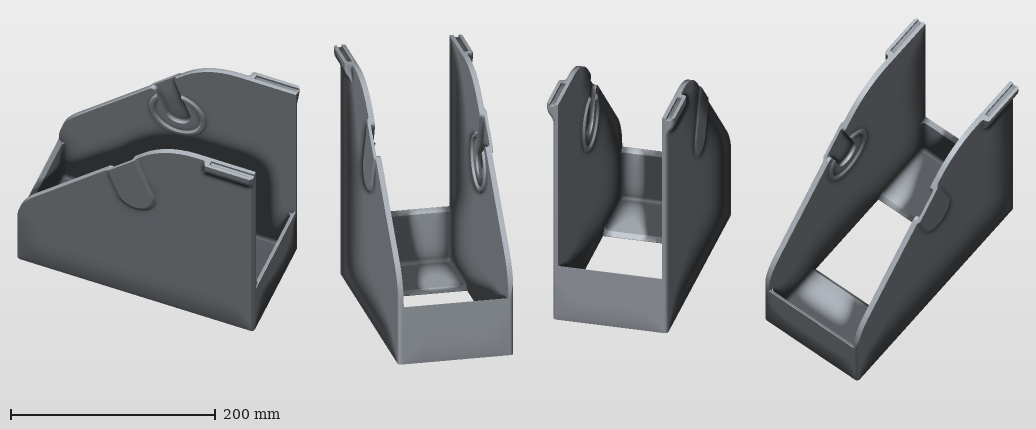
import cadquery as cq
import math

LENGTH = 250.0
HEIGHT = 240.0
BODY_WIDTH = 116.0
PLATE = 5.5
WALL = 4.5
WALL_HEIGHT = 60.0
CORNER_RADIUS = 3.5
INNER_RADIUS = 4.0
BEVEL = 4.0
FLOOR_DEPTH = 75.0
OUTER_Y = BODY_WIDTH / 2
INNER_Y = OUTER_Y - PLATE

SLOPE_ANGLE = 45.0
SLOPE_FOOT_Z = 84.0
FRONT_BLEND = 57.5
TOP_BLEND = 80.0

GRIP_X = 125.5
GRIP_Z = 154.5
GRIP_TILT = 20.0
GRIP_LENGTH = 100.0
TONGUE_RADIUS = 22.5
TONGUE_STEP = 6.0
TONGUE_RISE = 2.0
RECESS_RADIUS = 13.5
RECESS_DEPTH = 4.5
RECESS_FILLET = 2.0
MOUTH_RADIUS = 4.0
RING_RADIUS = 30.5
RING_WIDTH = 7.0
RING_RISE = 2.0

TOTAL_WIDTH = 129.0
RAIL_FRONT_X = 196.2
RAIL_BOTTOM_Z = 217.5
RAIL_BLEND_HEIGHT = 17.5
SLOT_FRONT_X = 204.8
SLOT_INNER_Y = 56.2
SLOT_WIDTH = 5.0
SLOT_DEPTH = 2.5
RAIL_Y = TOTAL_WIDTH / 2
OVERHANG = RAIL_Y - OUTER_Y


def block(x0, x1, y0, y1, z0, z1):
    """Box between two limits along each axis."""
    return cq.Workplane("XY").box(x1 - x0, y1 - y0, z1 - z0, centered=False).translate((x0, y0, z0))


def s_curve(sketch, start, end):
    """Continue a sketch from start to end with two equal tangent arcs."""
    middle = ((start[0] + end[0]) / 2, (start[1] + end[1]) / 2)
    return sketch.tangentArcPoint(middle, relative=False).tangentArcPoint(end, relative=False)


def side_outline():
    """Side plate outline, extruded over the full width."""
    turn = math.tan(math.radians(SLOPE_ANGLE / 2))
    front_tangent = FRONT_BLEND * turn
    top_tangent = TOP_BLEND * turn
    diagonal = math.cos(math.radians(SLOPE_ANGLE))
    slope_top_x = HEIGHT - SLOPE_FOOT_Z
    return (
        cq.Workplane("XZ")
        .moveTo(0, 0)
        .lineTo(0, SLOPE_FOOT_Z - front_tangent)
        .tangentArcPoint((front_tangent * diagonal, SLOPE_FOOT_Z + front_tangent * diagonal), relative=False)
        .lineTo(slope_top_x - top_tangent * diagonal, HEIGHT - top_tangent * diagonal)
        .tangentArcPoint((slope_top_x + top_tangent, HEIGHT), relative=False)
        .lineTo(LENGTH, HEIGHT)
        .lineTo(LENGTH, 0)
        .close()
        .extrude(TOTAL_WIDTH / 2, both=True)
    )


def bevelled_walls_void():
    """Space between the side plates above the end walls, bevelling the wall tops inwards."""
    edge = WALL - BEVEL
    low = WALL_HEIGHT - BEVEL
    return (
        cq.Workplane("XZ")
        .polyline([
            (0, HEIGHT), (0, WALL_HEIGHT), (edge, WALL_HEIGHT), (WALL, low),
            (LENGTH - WALL, low), (LENGTH - edge, WALL_HEIGHT), (LENGTH, WALL_HEIGHT), (LENGTH, HEIGHT),
        ])
        .close()
        .extrude(INNER_Y, both=True)
    )


def floor_opening():
    """Opening in the floor with bevelled front and back ends."""
    edge = WALL - BEVEL
    top = FLOOR_DEPTH - BEVEL
    return (
        cq.Workplane("XZ")
        .polyline([
            (FLOOR_DEPTH, 0), (FLOOR_DEPTH, edge), (top - INNER_RADIUS, WALL + INNER_RADIUS),
            (LENGTH - top + INNER_RADIUS, WALL + INNER_RADIUS), (LENGTH - FLOOR_DEPTH, edge),
            (LENGTH - FLOOR_DEPTH, 0),
        ])
        .close()
        .extrude(INNER_Y, both=True)
    )


def tray():
    """Rounded box hollowed out from above, with low end walls and an open floor."""
    outside = block(0, LENGTH, -OUTER_Y, OUTER_Y, 0, HEIGHT).edges("|Z and <X").fillet(CORNER_RADIUS)
    cavity = (
        block(WALL, LENGTH - WALL, -INNER_Y, INNER_Y, WALL, HEIGHT + WALL)
        .edges("|Z or <Z").fillet(INNER_RADIUS)
    )
    return outside.cut(cavity).cut(bevelled_walls_void()).cut(floor_opening())


def rail():
    """Rail on the +Y plate, blended into it at the front end and underneath."""
    root_z = RAIL_BOTTOM_Z - PLATE
    root_x = RAIL_FRONT_X - PLATE
    side_shape = cq.Workplane("YZ").moveTo(INNER_Y, HEIGHT).lineTo(INNER_Y, root_z)
    side_shape = side_shape.lineTo(OUTER_Y, root_z).lineTo(OUTER_Y, RAIL_BOTTOM_Z)
    side_shape = s_curve(side_shape, (OUTER_Y, RAIL_BOTTOM_Z), (RAIL_Y, RAIL_BOTTOM_Z + RAIL_BLEND_HEIGHT))
    side_shape = side_shape.lineTo(RAIL_Y, HEIGHT).close().extrude(LENGTH)

    plan_shape = cq.Workplane("XY").moveTo(LENGTH, INNER_Y).lineTo(root_x, INNER_Y)
    plan_shape = plan_shape.lineTo(root_x, OUTER_Y).lineTo(RAIL_FRONT_X, OUTER_Y)
    plan_shape = s_curve(plan_shape, (RAIL_FRONT_X, OUTER_Y), (RAIL_FRONT_X + OVERHANG, RAIL_Y))
    plan_shape = plan_shape.lineTo(LENGTH, RAIL_Y).close().extrude(HEIGHT)
    return side_shape.intersect(plan_shape)


def rail_slot():
    """Groove in the top of the +Y rail, open at the rear."""
    return block(SLOT_FRONT_X, LENGTH, SLOT_INNER_Y, SLOT_INNER_Y + SLOT_WIDTH, HEIGHT - SLOT_DEPTH, HEIGHT)


def place_grip(shape, y):
    """Tilt a grip feature from upright and move it to its centre on a side plate."""
    return shape.rotate((0, 0, 0), (0, 1, 0), -GRIP_TILT).translate((GRIP_X, y, GRIP_Z))


def tongue():
    """Round-ended tongue with S-shaped flanks, rising along +Y."""
    def half_section():
        root = -PLATE / 2
        crest = TONGUE_RADIUS - TONGUE_STEP
        sketch = cq.Workplane("XY").moveTo(0, root).lineTo(0, TONGUE_RISE).lineTo(crest, TONGUE_RISE)
        sketch = s_curve(sketch, (crest, TONGUE_RISE), (TONGUE_RADIUS, 0))
        return sketch.lineTo(TONGUE_RADIUS, root).close()

    half_bar = half_section().extrude(GRIP_LENGTH)
    round_end = half_section().revolve(360, (0, 0, 0), (0, 1, 0))
    return round_end.union(half_bar).union(half_bar.mirror("YZ"))


def recess():
    """Round-ended recess, sunk along +Y, whose mouth flares out to the slope."""
    bottom = -2 * RING_RISE
    slope_distance = (GRIP_X + SLOPE_FOOT_Z - GRIP_Z) * math.cos(math.radians(SLOPE_ANGLE))
    channel = block(-RECESS_RADIUS, RECESS_RADIUS, bottom, RECESS_DEPTH, 0, GRIP_LENGTH / 2)
    round_end = (
        cq.Workplane("XZ", origin=(0, RECESS_DEPTH, 0)).circle(RECESS_RADIUS).extrude(RECESS_DEPTH - bottom)
    )
    beyond_slope = block(
        -GRIP_LENGTH, GRIP_LENGTH, bottom, RECESS_DEPTH, slope_distance, slope_distance + GRIP_LENGTH,
    ).rotate((0, 0, 0), (0, 1, 0), GRIP_TILT - SLOPE_ANGLE)
    mouth_edges = cq.selectors.BoxSelector(
        (-2 * RECESS_RADIUS, bottom, RECESS_RADIUS), (2 * RECESS_RADIUS, RECESS_DEPTH, GRIP_LENGTH)
    )
    cutter = round_end.union(channel).union(beyond_slope)
    cutter = cutter.edges("|Y").edges(mouth_edges).fillet(MOUTH_RADIUS)
    return cutter.faces(">Y").edges().fillet(RECESS_FILLET)


def ring():
    """Ring with 45 degree flanks and a flat crest, rising along -Y."""
    inner = RING_RADIUS - RING_WIDTH
    root = PLATE / 2
    return (
        cq.Workplane("XY")
        .polyline([
            (inner, root), (inner, 0), (inner + RING_RISE, -RING_RISE),
            (RING_RADIUS - RING_RISE, -RING_RISE), (RING_RADIUS, 0), (RING_RADIUS, root),
        ])
        .close()
        .revolve(360, (0, 0, 0), (0, 1, 0))
    )


def side_details():
    """Material added to and removed from the +Y side plate."""
    material = place_grip(tongue(), OUTER_Y).union(place_grip(ring(), INNER_Y)).union(rail())
    voids = place_grip(recess(), INNER_Y).union(rail_slot())
    return material, voids


def round_rear_corner(part, side):
    """Round the rear corner of one side plate, following its rail; side is 1 or -1 along Y."""
    corner = cq.selectors.BoxSelector(
        (LENGTH - CORNER_RADIUS, side * (OUTER_Y - PLATE / 2), CORNER_RADIUS),
        (LENGTH + CORNER_RADIUS, side * (RAIL_Y + PLATE), HEIGHT - SLOT_DEPTH / 2),
    )
    return part.faces(">X").edges(corner).fillet(CORNER_RADIUS)


added, removed = side_details()
body = tray().union(added).union(added.mirror("XZ")).intersect(side_outline())
for side in (1, -1):
    body = round_rear_corner(body, side)
result = body.cut(removed).cut(removed.mirror("XZ"))